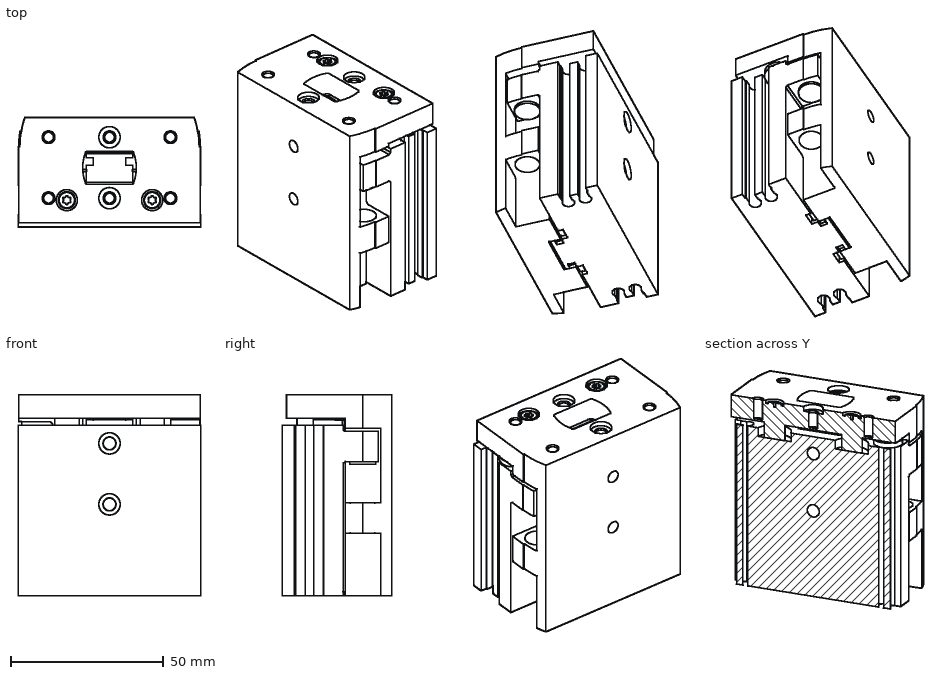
import cadquery as cq
import math

WIDTH = 60.0
DEPTH = 36.0
HEIGHT = 66.0
HALF_WIDTH = WIDTH / 2

HOUSING_HEIGHT = 56.0
HOUSING_BACK = 20.0
SIDE_SLOT_CENTERS = (6.0, 11.9)
SIDE_SLOT_WIDTH = 3.2
SIDE_SLOT_ROUND_DIAMETER = 4.0
SIDE_SLOT_ROUND_INSET = 5.4
SIDE_RECESS_FRONT = 4.0
SIDE_RECESS_BACK = 13.7
SIDE_RECESS_DEPTH = 2.1

RAIL_HALF_WIDTH = 7.6
RAIL_FRONT = 14.75
RAIL_BACK = 24.2
RAIL_TOP = 57.7
RACEWAY_FRONT = 20.35
RACEWAY_BACK = 22.75
RACEWAY_DEPTH = 2.2

ROUND_CENTER_Y = 26.4
EAR_ROUND_RADIUS = 29.8
EAR_BACK = 31.5
EAR_BOTTOM = 44.0
EAR_TOP = 54.0
EAR_INNER = 19.2
EAR_BEVEL = 0.65
BUMPER_X = 24.0
BUMPER_DIAMETER = 8.5
BUMPER_HEIGHT = 0.9

BUTTON_X = 24.85
BUTTON_Y = 14.9
BUTTON_DIAMETER = 9.5
BUTTON_TIP_DIAMETER = 5.0
BUTTON_TIP_HEIGHT = 0.35

SLIDE_HALF_WIDTH = 29.8
SLIDE_ROUND_RADIUS = 29.4
PLATE_FRONT = 1.4
PLATE_BOTTOM = 58.2
CARRIAGE_FRONT = 20.65
BACK_WALL_FRONT = 32.3
CORE_HALF_WIDTH = 18.6
CHANNEL_BACK = 24.8
FLANGE_BOTTOM = 20.6
FLANGE_TOP = 30.5
FLANGE_HOLE_DIAMETER = 8.1
LEFT_POCKET_TOP = 57.15
RIGHT_POCKET_TOP = 55.0
POCKET_FILLET = 1.35

LEG_OUTER = 12.0
LEG_FRONT = 18.85
LEG_BOTTOM = 1.3
LEG_GROOVE_FRONT = 18.2

WINDOW_FRONT = 14.1
WINDOW_HALF_WIDTH = 7.75
WINDOW_BULGE = 8.8
WINDOW_CORNER_RADIUS = 0.6
WINDOW_FLOOR = 54.0

SCREW_X = 14.0
SCREW_Y = 8.85
BOSS_DIAMETER = 8.0
BOSS_BORE_DIAMETER = 12.0
BOSS_BORE_DEPTH = 3.0
BOSS_BOTTOM = HOUSING_HEIGHT - BOSS_BORE_DEPTH
SCREW_RECESS_DIAMETER = 6.92
SCREW_RECESS_DEPTH = 1.0
SCREW_HEAD_DIAMETER = 5.5
SCREW_HEAD_CHAMFER = 0.2
SCREW_HEAD_DROP = 0.4
SOCKET_DIAMETER = 2.2
SOCKET_LOBE_DIAMETER = 0.7
SOCKET_LOBES = 6
SOCKET_DEPTH = 1.5

HOLE_X = 20.0
HOLE_ROWS = (9.5, 29.5)
THREAD_DIAMETER = 3.24
THREAD_MOUTH_DIAMETER = 4.13
THREAD_DEPTH = 7.0
CENTRING_DIAMETER = 7.0
CENTRING_DEPTH = 1.6

MOUNT_DIAMETER = 4.13
MOUNT_HEIGHTS = (30.0, 50.0)


def box(x_min, x_max, y_min, y_max, z_min, z_max):
    """Box given by its limits along each axis."""
    return (
        cq.Workplane("XY")
        .box(x_max - x_min, y_max - y_min, z_max - z_min, centered=False)
        .translate((x_min, y_min, z_min))
    )


def cylinder(x, y, diameter, z_min, z_max):
    """Upright cylinder."""
    return (
        cq.Workplane("XY", origin=(x, y, z_min))
        .circle(diameter / 2)
        .extrude(z_max - z_min)
    )


def mirrored(shape):
    """Copy of a shape on the other side of the YZ plane."""
    return shape.mirror("YZ")


def mount_hole(z):
    """Hole along Y through both bodies."""
    return cq.Workplane("XZ", origin=(0, 0, z)).circle(MOUNT_DIAMETER / 2).extrude(-DEPTH)


def round_side(radius, y):
    """Half width of the rounded side at a given Y."""
    return math.sqrt(radius**2 - (y - ROUND_CENTER_Y) ** 2)


def side_slot(y):
    """Sensor slot on the -X side: a straight throat that opens into a wider round bottom."""
    half_width = SIDE_SLOT_WIDTH / 2
    round_x = -HALF_WIDTH + SIDE_SLOT_ROUND_INSET
    throat = box(-HALF_WIDTH, round_x, y - half_width, y + half_width, 0, HOUSING_HEIGHT)
    return throat.union(cylinder(round_x, y, SIDE_SLOT_ROUND_DIAMETER, 0, HOUSING_HEIGHT))


def ear():
    """Stop ear on the -X side, with its bumper underneath and bevels at its root."""
    middle = (ROUND_CENTER_Y + EAR_BACK) / 2
    block = (
        cq.Workplane("XY", origin=(0, 0, EAR_BOTTOM))
        .moveTo(-EAR_INNER, HOUSING_BACK)
        .lineTo(-HALF_WIDTH, HOUSING_BACK)
        .lineTo(-HALF_WIDTH, ROUND_CENTER_Y)
        .lineTo(-EAR_ROUND_RADIUS, ROUND_CENTER_Y)
        .threePointArc(
            (-round_side(EAR_ROUND_RADIUS, middle), middle),
            (-round_side(EAR_ROUND_RADIUS, EAR_BACK), EAR_BACK),
        )
        .lineTo(-EAR_INNER, EAR_BACK)
        .close()
        .extrude(EAR_TOP - EAR_BOTTOM)
    )
    root = (
        cq.Workplane("YZ", origin=(-HALF_WIDTH, 0, 0))
        .moveTo(HOUSING_BACK, EAR_BOTTOM - EAR_BEVEL)
        .lineTo(HOUSING_BACK + EAR_BEVEL, EAR_BOTTOM)
        .lineTo(HOUSING_BACK + EAR_BEVEL, EAR_TOP)
        .lineTo(HOUSING_BACK, EAR_TOP + EAR_BEVEL)
        .close()
        .extrude(HALF_WIDTH - EAR_INNER)
    )
    bumper = cylinder(-BUMPER_X, ROUND_CENTER_Y, BUMPER_DIAMETER, EAR_BOTTOM - BUMPER_HEIGHT, EAR_BOTTOM)
    return block.union(root).union(bumper)


def rail():
    """Guide rail with a square raceway along each side."""
    body = box(-RAIL_HALF_WIDTH, RAIL_HALF_WIDTH, RAIL_FRONT, RAIL_BACK, 0, RAIL_TOP)
    raceway = box(
        -RAIL_HALF_WIDTH, -RAIL_HALF_WIDTH + RACEWAY_DEPTH, RACEWAY_FRONT, RACEWAY_BACK, 0, RAIL_TOP
    )
    return body.cut(raceway).cut(mirrored(raceway))


def make_housing():
    body = box(-HALF_WIDTH, HALF_WIDTH, 0, HOUSING_BACK, 0, HOUSING_HEIGHT)

    recess_x = -HALF_WIDTH + SIDE_RECESS_DEPTH
    side_cuts = box(-HALF_WIDTH, recess_x, SIDE_RECESS_FRONT, SIDE_RECESS_BACK, 0, HOUSING_HEIGHT)
    for y in SIDE_SLOT_CENTERS:
        side_cuts = side_cuts.union(side_slot(y))
    body = body.cut(side_cuts).cut(mirrored(side_cuts))

    leg_groove = box(-LEG_OUTER, LEG_OUTER, LEG_GROOVE_FRONT, HOUSING_BACK, 0, HOUSING_HEIGHT)
    left_ear = ear()
    body = body.cut(leg_groove).union(rail()).union(left_ear).union(mirrored(left_ear))

    for x in (-SCREW_X, SCREW_X):
        body = body.cut(cylinder(x, SCREW_Y, BOSS_BORE_DIAMETER, BOSS_BOTTOM, HOUSING_HEIGHT))

    button = cylinder(BUTTON_X, BUTTON_Y, BUTTON_DIAMETER, HOUSING_HEIGHT, RAIL_TOP)
    tip = cylinder(BUTTON_X, BUTTON_Y, BUTTON_TIP_DIAMETER, RAIL_TOP, RAIL_TOP + BUTTON_TIP_HEIGHT)
    body = body.union(button).union(tip)

    for z in MOUNT_HEIGHTS:
        centring = (
            cq.Workplane("XZ", origin=(0, 0, z)).circle(CENTRING_DIAMETER / 2).extrude(-CENTRING_DEPTH)
        )
        body = body.cut(mount_hole(z)).cut(centring)
    return body


def slide_blank():
    """Full-height slide outline with rounded back sides."""
    middle = (ROUND_CENTER_Y + DEPTH) / 2
    middle_x = round_side(SLIDE_ROUND_RADIUS, middle)
    back_x = round_side(SLIDE_ROUND_RADIUS, DEPTH)
    return (
        cq.Workplane("XY")
        .moveTo(-SLIDE_HALF_WIDTH, PLATE_FRONT)
        .lineTo(SLIDE_HALF_WIDTH, PLATE_FRONT)
        .lineTo(SLIDE_HALF_WIDTH, ROUND_CENTER_Y)
        .lineTo(SLIDE_ROUND_RADIUS, ROUND_CENTER_Y)
        .threePointArc((middle_x, middle), (back_x, DEPTH))
        .lineTo(-back_x, DEPTH)
        .threePointArc((-middle_x, middle), (-SLIDE_ROUND_RADIUS, ROUND_CENTER_Y))
        .lineTo(-SLIDE_HALF_WIDTH, ROUND_CENTER_Y)
        .close()
        .extrude(HEIGHT)
    )


def ear_pocket(top):
    """Pocket on the -X side in which the stop ear travels, rounded along the core."""
    pocket = box(-HALF_WIDTH, -CORE_HALF_WIDTH, CARRIAGE_FRONT, BACK_WALL_FRONT, FLANGE_TOP, top)
    return pocket.edges("|Y and >X").fillet(POCKET_FILLET)


def lower_pocket():
    """Open pocket on the -X side below the flange."""
    pocket = box(-HALF_WIDTH, -CORE_HALF_WIDTH, CARRIAGE_FRONT, BACK_WALL_FRONT, 0, FLANGE_BOTTOM)
    return pocket.edges("|Y and >X and >Z").fillet(POCKET_FILLET)


def leg():
    """Leg beside the rail on the -X side, with a lip that fills the raceway."""
    body = box(-LEG_OUTER, -RAIL_HALF_WIDTH, LEG_FRONT, CARRIAGE_FRONT, LEG_BOTTOM, WINDOW_FLOOR)
    lip = box(
        -RAIL_HALF_WIDTH, -RAIL_HALF_WIDTH + RACEWAY_DEPTH, RACEWAY_FRONT, RACEWAY_BACK,
        LEG_BOTTOM, WINDOW_FLOOR,
    )
    return body.union(lip)


def window():
    """Window with bulging sides, open to the top."""
    middle = (WINDOW_FRONT + CHANNEL_BACK) / 2
    return (
        cq.Workplane("XY", origin=(0, 0, WINDOW_FLOOR))
        .moveTo(-WINDOW_HALF_WIDTH, WINDOW_FRONT)
        .lineTo(WINDOW_HALF_WIDTH, WINDOW_FRONT)
        .threePointArc((WINDOW_BULGE, middle), (WINDOW_HALF_WIDTH, CHANNEL_BACK))
        .lineTo(-WINDOW_HALF_WIDTH, CHANNEL_BACK)
        .threePointArc((-WINDOW_BULGE, middle), (-WINDOW_HALF_WIDTH, WINDOW_FRONT))
        .close()
        .extrude(HEIGHT - WINDOW_FLOOR)
        .edges("|Z")
        .fillet(WINDOW_CORNER_RADIUS)
    )


def screw_head(x):
    """Screw head standing in its recess, and the lobed socket to cut into it."""
    head_top = HEIGHT - SCREW_HEAD_DROP
    head = cylinder(x, SCREW_Y, SCREW_HEAD_DIAMETER, HEIGHT - SCREW_RECESS_DEPTH, head_top)
    head = head.faces(">Z").chamfer(SCREW_HEAD_CHAMFER)
    socket_bottom = head_top - SOCKET_DEPTH
    socket = cylinder(x, SCREW_Y, SOCKET_DIAMETER, socket_bottom, head_top)
    for lobe in range(SOCKET_LOBES):
        angle = math.pi / 2 + 2 * math.pi * lobe / SOCKET_LOBES
        lobe_x = x + SOCKET_DIAMETER / 2 * math.cos(angle)
        lobe_y = SCREW_Y + SOCKET_DIAMETER / 2 * math.sin(angle)
        socket = socket.union(cylinder(lobe_x, lobe_y, SOCKET_LOBE_DIAMETER, socket_bottom, head_top))
    return head, socket


def threaded_hole(x, y, mouth_z):
    """Blind threaded hole with a chamfered mouth."""
    mouth_depth = (THREAD_MOUTH_DIAMETER - THREAD_DIAMETER) / 2
    mouth = (
        cq.Workplane("XY", origin=(x, y, mouth_z))
        .circle(THREAD_MOUTH_DIAMETER / 2)
        .workplane(offset=-mouth_depth)
        .circle(THREAD_DIAMETER / 2)
        .loft()
    )
    return cylinder(x, y, THREAD_DIAMETER, HEIGHT - THREAD_DEPTH, mouth_z).union(mouth)


def make_slide():
    body = slide_blank()
    body = body.cut(box(-HALF_WIDTH, HALF_WIDTH, 0, CARRIAGE_FRONT, 0, PLATE_BOTTOM))
    body = body.cut(ear_pocket(LEFT_POCKET_TOP)).cut(mirrored(ear_pocket(RIGHT_POCKET_TOP)))
    body = body.cut(lower_pocket()).cut(mirrored(lower_pocket()))
    for x in (-BUMPER_X, BUMPER_X):
        body = body.cut(cylinder(x, ROUND_CENTER_Y, FLANGE_HOLE_DIAMETER, FLANGE_BOTTOM, FLANGE_TOP))

    body = body.cut(box(-RAIL_HALF_WIDTH, RAIL_HALF_WIDTH, CARRIAGE_FRONT, CHANNEL_BACK, 0, PLATE_BOTTOM))
    body = body.cut(window())
    body = body.union(leg()).union(mirrored(leg()))

    for x in (-SCREW_X, SCREW_X):
        recess = cylinder(x, SCREW_Y, SCREW_RECESS_DIAMETER, HEIGHT - SCREW_RECESS_DEPTH, HEIGHT)
        head, socket = screw_head(x)
        body = body.cut(recess).union(head).cut(socket)
        body = body.union(cylinder(x, SCREW_Y, BOSS_DIAMETER, BOSS_BOTTOM, PLATE_BOTTOM))

    for y in HOLE_ROWS:
        for x in (-HOLE_X, HOLE_X):
            body = body.cut(threaded_hole(x, y, HEIGHT))
        body = body.cut(cylinder(0, y, CENTRING_DIAMETER, HEIGHT - CENTRING_DEPTH, HEIGHT))
        body = body.cut(threaded_hole(0, y, HEIGHT - CENTRING_DEPTH))

    for z in MOUNT_HEIGHTS:
        body = body.cut(mount_hole(z))
    return body


housing = make_housing()
slide = make_slide()
result = cq.Compound.makeCompound([housing.val(), slide.val()])